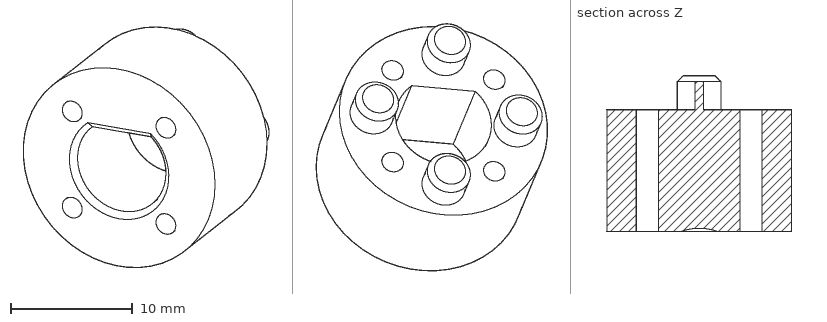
import cadquery as cq
import math

body_diameter = 17.4
body_length = 10.0

total_length = 12.8
pin_length = total_length - body_length
pin_diameter = 3.6
chamfer = 0.5

pitch_radius = 6.0
hole_diameter = 1.8
feature_count = 4
hole_start_angle = 45

bore_radius = 4
flat_height = 3.0


def face_plane(y):
    """Plane at the given Y whose normal points to the back (+Y)."""
    return cq.Workplane(cq.Plane(origin=(0, y, 0), xDir=(1, 0, 0), normal=(0, 1, 0)))


def d_prism(radius, flat, length):
    """D-shaped prism from the front face towards the back."""
    half_width = math.sqrt(radius**2 - flat**2)
    return (
        face_plane(0)
        .moveTo(-half_width, -flat)
        .threePointArc((0, radius), (half_width, -flat))
        .close()
        .extrude(length)
    )


def make_pins():
    pins = (
        face_plane(body_length)
        .polarArray(pitch_radius, 0, 360, feature_count)
        .circle(pin_diameter / 2)
        .extrude(pin_length)
    )
    return pins.faces(">Y").edges().chamfer(chamfer)


def make_holes():
    return (
        face_plane(0)
        .polarArray(pitch_radius, hole_start_angle, 360, feature_count)
        .circle(hole_diameter / 2)
        .extrude(body_length)
    )


def make_body():
    """Cylinder with the D-shaped bore, chamfered at the front face."""
    bore = d_prism(bore_radius, flat_height, body_length)
    body = face_plane(0).circle(body_diameter / 2).extrude(body_length).cut(bore)
    front_rims = body.faces("<Y").wires().vals()
    bore_rim = min(front_rims, key=lambda rim: rim.Length())
    return body.newObject(bore_rim.Edges()).chamfer(chamfer)


result = make_body().cut(make_holes()).union(make_pins())